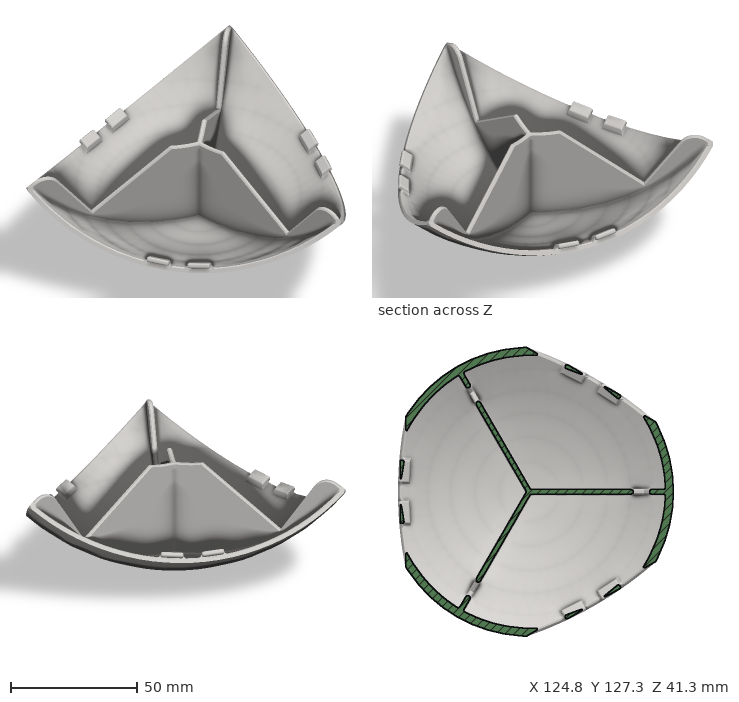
import cadquery as cq
import math

corner_span = 127.3
outer_radius = corner_span / math.sqrt(2)
wall = 2.0
inner_radius = outer_radius - wall
root_radius = inner_radius + wall / 2
rim_chamfer = 0.5
corner_reach = 72.8
sides = 3
turn = 360.0 / sides

rib_thickness = 2.0
rib_chamfer = 0.5
hub_radius = 50.3
rib_drop = 32.8
tip_start = 78.9
tip_drop = 0.5
tip_radius = 7.1
base_fillet = 0.6
hub_fillet = 1.0

lug_length = 9.0
lug_offset = 8.3
lug_depth = 2.0
lug_rise = 1.8
lug_heel = 2.4
lug_rounding = 0.8
lug_flare = 1.5

LONG = math.sqrt(2 / 3)
SHORT = math.sqrt(1 / 3)
ARC_MIDDLE = 1 - math.sqrt(1 / 2)
TOLERANCE = 0.01


def around(solid):
    """Copies of a solid at every corner or side, joined together."""
    joined = solid
    for index in range(1, sides):
        joined = joined.union(solid.rotate((0, 0, 0), (0, 0, 1), index * turn))
    return joined


def turned(x, y, degrees):
    """XY position after a turn about the Z axis."""
    angle = math.radians(degrees)
    return (x * math.cos(angle) - y * math.sin(angle), x * math.sin(angle) + y * math.cos(angle))


def corner_axis(index):
    return cq.Vector(*turned(LONG, 0, index * turn), -SHORT)


def make_octant():
    """Block whose three faces through the origin hold the rim of the shell."""
    frame = cq.Plane(origin=(0, 0, 0), xDir=corner_axis(0), normal=corner_axis(1))
    size = 2 * outer_radius
    block = cq.Workplane(frame).box(size, size, size, centered=False)
    trim = cq.Workplane("XY").polygon(sides, 4 * corner_reach).extrude(-size)
    return block.intersect(trim.rotate((0, 0, 0), (0, 0, 1), turn / 2))


def rib_point(along, above):
    """XZ position from the distance along the corner axis and the height over it."""
    return (LONG * along + SHORT * above, -SHORT * along + LONG * above)


def make_rib():
    along_hub = math.sqrt(hub_radius**2 - rib_drop**2)
    tip_top = -tip_drop
    bend = tip_radius * ARC_MIDDLE
    half_peak = 0.5 * math.asin(rib_point(along_hub, -rib_drop)[0] / hub_radius)
    hub_middle = (hub_radius * math.sin(half_peak), -hub_radius * math.cos(half_peak))
    profile = (
        cq.Workplane("XZ")
        .moveTo(0, -hub_radius)
        .threePointArc(hub_middle, rib_point(along_hub, -rib_drop))
        .lineTo(*rib_point(tip_start, -rib_drop))
        .lineTo(*rib_point(tip_start, tip_top - tip_radius))
        .threePointArc(
            rib_point(tip_start + bend, tip_top - bend),
            rib_point(tip_start + tip_radius, tip_top),
        )
        .lineTo(*rib_point(outer_radius + wall, tip_top))
        .lineTo(*rib_point(outer_radius + wall, -outer_radius))
        .lineTo(0, -outer_radius - wall)
        .close()
    )
    rib = profile.extrude(rib_thickness / 2, both=True)

    def on_top(edge):
        center = edge.Center()
        return center.Length < outer_radius and center.x > TOLERANCE

    return rib.faces("<Y or >Y").edges().filter(on_top).chamfer(rib_chamfer)


def make_rib_foot():
    """Rounded fillet band on both sides of a rib, swept along the inside of the ball."""
    side = rib_thickness / 2
    reach = side + base_fillet
    crown = inner_radius - base_fillet
    bend = base_fillet * ARC_MIDDLE
    section = (
        cq.Workplane("YZ")
        .moveTo(-side, -crown)
        .threePointArc((-side - bend, -inner_radius + bend), (-reach, -inner_radius))
        .lineTo(-reach, -root_radius)
        .lineTo(reach, -root_radius)
        .lineTo(reach, -inner_radius)
        .threePointArc((side + bend, -inner_radius + bend), (side, -crown))
        .close()
    )
    corner_angle = math.degrees(math.acos(SHORT))
    return section.revolve(corner_angle, (0, 0, 0), (-1, 0, 0))


def make_hub():
    """Post in the middle that rounds the upright corners between the ribs."""
    side = rib_thickness / 2
    half_gap = math.radians(turn / 2)
    valley = side / math.sin(half_gap)
    tangent = hub_fillet / math.tan(half_gap)
    start = valley * math.cos(half_gap) + tangent
    arc_middle = valley + hub_fillet / math.sin(half_gap) - hub_fillet
    outline = cq.Workplane("XY").moveTo(start, side)
    for index in range(sides):
        middle = turned(arc_middle, 0, (index + 0.5) * turn)
        outline = outline.threePointArc(middle, turned(start, -side, (index + 1) * turn))
        outline = outline.lineTo(*turned(start, side, (index + 1) * turn))
    top = hub_radius + rib_chamfer
    return outline.close().extrude(top - root_radius).translate((0, 0, -top))


def make_lug(side):
    """Lug beside the middle of the -X rim face, moved to one side along the rim."""
    along = cq.Vector(-SHORT, 0, -LONG)
    outward = cq.Vector(-LONG, 0, SHORT)
    frame = cq.Plane(origin=(0, 0, 0), xDir=along, normal=(0, 1, 0))
    inner_face = inner_radius - lug_depth
    lug_foot = -lug_heel - (root_radius - inner_face)
    outline = [
        (inner_face, lug_rise),
        (inner_radius, lug_rise),
        (inner_radius, 0),
        (root_radius, 0),
        (root_radius, lug_foot),
        (inner_face, -lug_heel),
    ]
    profile = cq.Workplane(frame).polyline(outline).close()
    body = profile.extrude(lug_length / 2, both=True)
    longer_body = cq.Workplane(frame).polyline(outline).close().extrude(lug_length, both=True)

    def is_free(edge):
        center = edge.Center()
        above_rim = center.dot(outward) > TOLERANCE
        return above_rim or center.dot(along) < inner_face + lug_rounding

    body = body.edges().filter(is_free).fillet(lug_rounding)

    half = lug_length / 2
    bend = lug_flare * ARC_MIDDLE
    flare = (
        cq.Workplane(cq.Plane(origin=(0, 0, 0), xDir=along, normal=outward.multiply(-1)))
        .moveTo(inner_radius - lug_flare, -half)
        .threePointArc((inner_radius - bend, -half - bend), (inner_radius, -half - lug_flare))
        .lineTo(root_radius, -half - lug_flare)
        .lineTo(root_radius, half + lug_flare)
        .lineTo(inner_radius, half + lug_flare)
        .threePointArc((inner_radius - bend, half + bend), (inner_radius - lug_flare, half))
        .close()
        .extrude(-lug_foot)
    )
    flare = flare.intersect(longer_body)
    swing = side * math.degrees(math.asin(lug_offset / inner_radius))
    return body.union(flare).rotate((0, 0, 0), outward.toTuple(), swing)


def is_inner_rim(edge):
    on_hollow = all(abs(v.Center().Length - inner_radius) < TOLERANCE for v in edge.Vertices())
    return on_hollow and edge.Length() > outer_radius


octant = make_octant()
ball = cq.Workplane("XY").sphere(outer_radius)
hollow = cq.Workplane("XY").sphere(inner_radius)
shell = ball.cut(hollow).intersect(octant)
shell = shell.faces("%PLANE").edges().filter(is_inner_rim).chamfer(rim_chamfer)

ribs = around(make_rib().union(make_rib_foot())).union(make_hub())
ribs = ribs.intersect(ball).intersect(octant)
lugs = around(make_lug(1).union(make_lug(-1)))

result = shell.union(ribs).union(lugs)